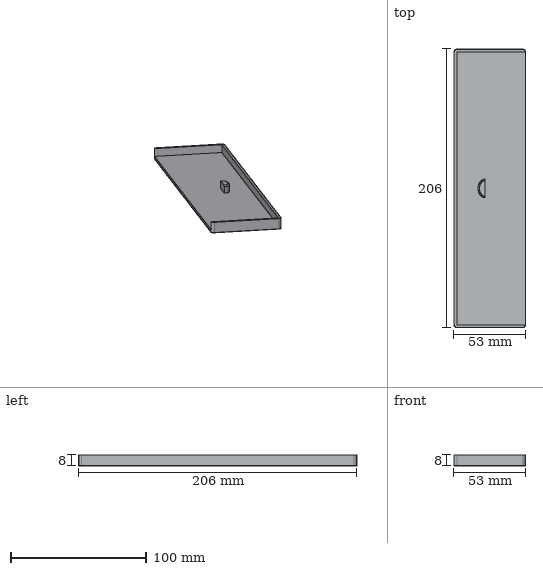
import cadquery as cq

width = 53.0
length = 206.0
height = 8.0
wall = 2.0
floor = 2.0
corner_radius = wall

grip_length = 13.5
grip_depth = 5.2
grip_flat_x = -3.5
grip_height = height - floor
grip_chamfer = 1.0


def make_tray():
    body = cq.Workplane("XY").box(width, length, height, centered=(True, True, False))
    body = body.edges("|Z").fillet(corner_radius)
    pocket = (
        cq.Workplane("XY", origin=(wall, 0, floor))
        .box(width, length - 2 * wall, height, centered=(True, True, False))
    )
    return body.cut(pocket)


def make_grip():
    plan = cq.Workplane("XY", origin=(grip_flat_x, 0, floor))
    full_grip = plan.ellipse(grip_depth, grip_length / 2).extrude(grip_height)
    full_grip = full_grip.faces(">Z").edges().chamfer(grip_chamfer)
    removed_half = plan.box(grip_depth, grip_length, grip_height, centered=(False, True, False))
    return full_grip.cut(removed_half)


result = make_tray().union(make_grip())